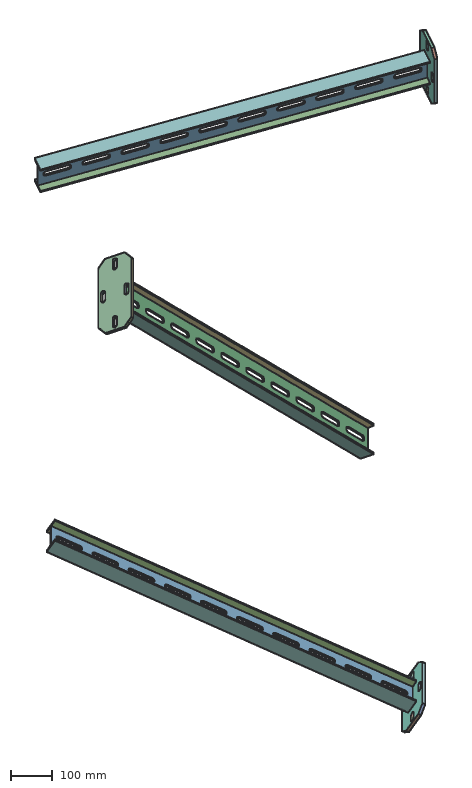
import cadquery as cq
TOTAL_LENGTH = 1008.0
PLATE_WIDTH = 100.0
PLATE_HEIGHT = 200.0
PLATE_THICKNESS = 8.0
PLATE_CORNER_CHAMFER = 20.0

END_SLOT_LENGTH = 30.0
END_SLOT_WIDTH = 13.0
END_SLOT_OFFSET = 78.0

SIDE_SLOT_WIDTH = 13.0
SIDE_SLOT_LENGTH = 30.0
SIDE_SLOT_OFFSET = 35.0

BEAM_LENGTH = TOTAL_LENGTH - PLATE_THICKNESS
BEAM_WIDTH = 40.0
BEAM_HEIGHT = 82.0
FLANGE_ROOT_THICKNESS = 6.0
FLANGE_TIP_THICKNESS = 4.5
WEB_THICKNESS = 5.0

WEB_SLOT_COUNT = 10
WEB_SLOT_PITCH = BEAM_LENGTH / WEB_SLOT_COUNT
WEB_SLOT_LENGTH = 72.0
WEB_SLOT_WIDTH = 15.0


def make_plate():
    """Mounting plate standing in the XZ plane, its front face at Y = 0."""
    plate = (
        cq.Workplane("XZ")
        .rect(PLATE_WIDTH, PLATE_HEIGHT)
        .extrude(-PLATE_THICKNESS)
        .edges("|Y")
        .chamfer(PLATE_CORNER_CHAMFER)
    )
    end_slots = (
        cq.Workplane("XZ")
        .pushPoints([(0, END_SLOT_OFFSET), (0, -END_SLOT_OFFSET)])
        .slot2D(END_SLOT_LENGTH, END_SLOT_WIDTH, 90)
        .extrude(-PLATE_THICKNESS)
    )
    side_slots = (
        cq.Workplane("XZ")
        .pushPoints([(SIDE_SLOT_OFFSET, 0), (-SIDE_SLOT_OFFSET, 0)])
        .slot2D(SIDE_SLOT_LENGTH, SIDE_SLOT_WIDTH, 90)
        .extrude(-PLATE_THICKNESS)
    )
    return plate.cut(end_slots).cut(side_slots)


def make_beam():
    """Slotted I-beam running along -Y from the plate's front face."""
    half_width = BEAM_WIDTH / 2
    half_height = BEAM_HEIGHT / 2
    half_web = WEB_THICKNESS / 2
    tip_z = half_height - FLANGE_TIP_THICKNESS
    root_z = half_height - FLANGE_ROOT_THICKNESS
    right_half = [
        (half_width, half_height),
        (half_width, tip_z),
        (half_web, root_z),
        (half_web, -root_z),
        (half_width, -tip_z),
        (half_width, -half_height),
    ]
    left_half = [(-x, z) for x, z in reversed(right_half)]
    i_section = cq.Workplane("XZ").polyline(right_half + left_half).close()
    solid_beam = i_section.extrude(BEAM_LENGTH)
    web_slot_centres = [
        (-(i + 0.5) * WEB_SLOT_PITCH, 0) for i in range(WEB_SLOT_COUNT)
    ]
    web_slots = (
        cq.Workplane("YZ")
        .pushPoints(web_slot_centres)
        .slot2D(WEB_SLOT_LENGTH, WEB_SLOT_WIDTH)
        .extrude(half_web, both=True)
    )
    return solid_beam.cut(web_slots)


mounting_plate = make_plate()
beam = make_beam()

result = cq.Compound.makeCompound([mounting_plate.val(), *beam.vals()])